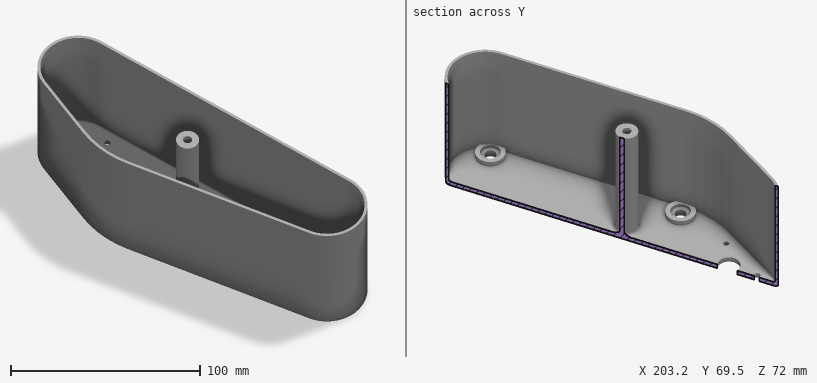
import cadquery as cq
import math

length = 203.2
width = 69.5
height = 72.0

left_radius = 21.5
right_radius = 21.5
belly_radius = 57.3
left_end = (left_radius, width - left_radius)
right_end = (length - right_radius, right_radius)
belly = (74.2, belly_radius)
outline_circles = [(left_end, left_radius), (belly, belly_radius), (right_end, right_radius)]

wall = 1.58
floor = 3.0
bottom_fillet = 2.0
floor_fillet = 1.0

shaft_hole = (34.3, 32.7)
shaft_hole_radius = 6.0
screw_square_centre = (38.0, 38.6)
screw_square_side = 30.0
screw_square_tilt = -31.9
screw_hole_radius = 1.6

post_centre = (95.7, 28.9)
post_radius = 6.0
post_fillet = 2.0
post_hole_radius = 2.5
post_hole_depth = 20.3

boss_y = 7.7
boss_centres = [(belly[0], boss_y), (185.0, boss_y)]
boss_radius = 8.1
boss_top = 6.0
boss_counterbore_radius = 5.5
boss_counterbore_depth = 2.0
boss_hole_radius = 3.3


def wall_normal(start, start_radius, end, end_radius):
    """Angle of the outward normal of the straight wall touching two circles, taken counterclockwise."""
    run = end[0] - start[0]
    rise = end[1] - start[1]
    swing = math.acos((start_radius - end_radius) / math.hypot(run, rise))
    return math.atan2(rise, run) - swing


def on_circle(centre, radius, angle):
    return (centre[0] + radius * math.cos(angle), centre[1] + radius * math.sin(angle))


def prism(inset, bottom, top):
    """Solid whose outline wraps the three circles, moved inward by inset."""
    following = outline_circles[1:] + outline_circles[:1]
    normals = [wall_normal(*here, *there) for here, there in zip(outline_circles, following)]
    outline = cq.Workplane("XY").workplane(offset=bottom)
    for i, (centre, radius) in enumerate(outline_circles):
        arrive = normals[i - 1]
        sweep = (normals[i] - arrive) % (2 * math.pi)
        start, middle, end = [
            on_circle(centre, radius - inset, arrive + part * sweep) for part in (0, 0.5, 1)
        ]
        outline = outline.moveTo(*start) if i == 0 else outline.lineTo(*start)
        outline = outline.threePointArc(middle, end)
    return outline.close().extrude(top - bottom)


def cylinder(centre, radius, bottom, top):
    return cq.Workplane("XY").workplane(offset=bottom).center(*centre).circle(radius).extrude(top - bottom)


def make_cavity():
    """Inner space, rounded at the floor but sharp along the front wall between the bosses."""
    cavity = prism(wall, floor, height).faces("<Z").edges().fillet(floor_fillet)
    front_corner = (
        cq.Workplane("XY")
        .box(right_end[0] - belly[0], floor_fillet, floor_fillet, centered=False)
        .translate((belly[0], wall, floor))
    )
    cavity = cavity.union(front_corner)
    for centre in boss_centres:
        cavity = cavity.cut(cylinder(centre, boss_radius, floor, boss_top))
    return cavity


def add_post(body):
    body = body.union(cylinder(post_centre, post_radius, floor, height))
    foot = cq.selectors.BoxSelector(
        (post_centre[0] - post_radius, post_centre[1] - post_radius, floor - post_fillet),
        (post_centre[0] + post_radius, post_centre[1] + post_radius, floor + post_fillet),
    )
    body = body.edges(foot).fillet(post_fillet)
    return body.cut(cylinder(post_centre, post_hole_radius, height - post_hole_depth, height))


def cut_boss_holes(body):
    seat = boss_top - boss_counterbore_depth
    for centre in boss_centres:
        body = body.cut(cylinder(centre, boss_hole_radius, 0, boss_top))
        body = body.cut(cylinder(centre, boss_counterbore_radius, seat, boss_top))
    return body


def cut_motor_mount(body):
    body = body.cut(cylinder(shaft_hole, shaft_hole_radius, 0, floor))
    half_diagonal = screw_square_side / math.sqrt(2)
    for corner in range(4):
        angle = math.radians(screw_square_tilt + 45 + 90 * corner)
        screw_hole = on_circle(screw_square_centre, half_diagonal, angle)
        body = body.cut(cylinder(screw_hole, screw_hole_radius, 0, floor))
    return body


shell = prism(0, 0, height).faces("<Z").edges().fillet(bottom_fillet)
tray = shell.cut(make_cavity())
result = cut_motor_mount(cut_boss_holes(add_post(tray)))